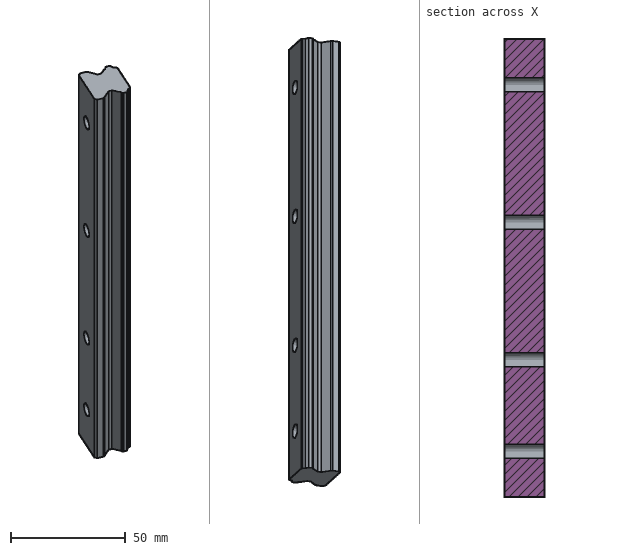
import cadquery as cq

width = 20.0
depth = 17.5
length = 200.0
half_width = width / 2
half_depth = depth / 2

hole_diameter = 6.0
end_margin = 20.0
hole_pitch = 60.0
pitched_holes = 3

base_chamfer = 1.0
base_shoulder_y = -5.0
base_bevel_width = 0.5
base_bevel_y = -4.2

waist_half_width = 6.5
waist_bottom_y = base_bevel_y + half_width - base_bevel_width - waist_half_width
waist_top_y = 0.5

slope_bottom_half_width = 7.0
slope_bottom_y = 1.5
step_half_width = 8.2
step_y = 2.5
ledge_half_width = 9.0
ledge_inner_y = 3.8
ledge_outer_y = 4.0
ledge_bevel_width = 0.2
flank_bottom_y = 4.5

flank_top_y = 6.2
shoulder_half_width = 8.5
shoulder_y = 7.2
crown_half_width = 8.0
crown_y = 8.2
crown_chamfer = half_depth - crown_y


def make_rail():
    """Extrude the mirrored section along Z."""
    right_side = [
        (half_width - base_chamfer, -half_depth),
        (half_width, -half_depth + base_chamfer),
        (half_width, base_shoulder_y),
        (half_width - base_bevel_width, base_bevel_y),
        (waist_half_width, waist_bottom_y),
        (waist_half_width, waist_top_y),
        (slope_bottom_half_width, slope_bottom_y),
        (step_half_width, step_y),
        (ledge_half_width, ledge_inner_y),
        (half_width - ledge_bevel_width, ledge_outer_y),
        (half_width, flank_bottom_y),
        (half_width, flank_top_y),
        (shoulder_half_width, shoulder_y),
        (crown_half_width, crown_y),
        (crown_half_width - crown_chamfer, half_depth),
    ]
    left_side = [(-x, y) for x, y in reversed(right_side)]
    section = cq.Workplane("XY").workplane(offset=-length / 2)
    return section.polyline(right_side + left_side).close().extrude(length)


def hole_heights():
    """Evenly pitched holes from the top end, plus one near the bottom end."""
    top_hole_z = length / 2 - end_margin
    heights = [top_hole_z - i * hole_pitch for i in range(pitched_holes)]
    return heights + [-length / 2 + end_margin]


def make_holes():
    """Cylinders that pass through the whole depth of the rail."""
    centers = [(0, z) for z in hole_heights()]
    plane = cq.Workplane("XZ").pushPoints(centers)
    return plane.circle(hole_diameter / 2).extrude(half_depth, both=True)


result = make_rail().cut(make_holes())